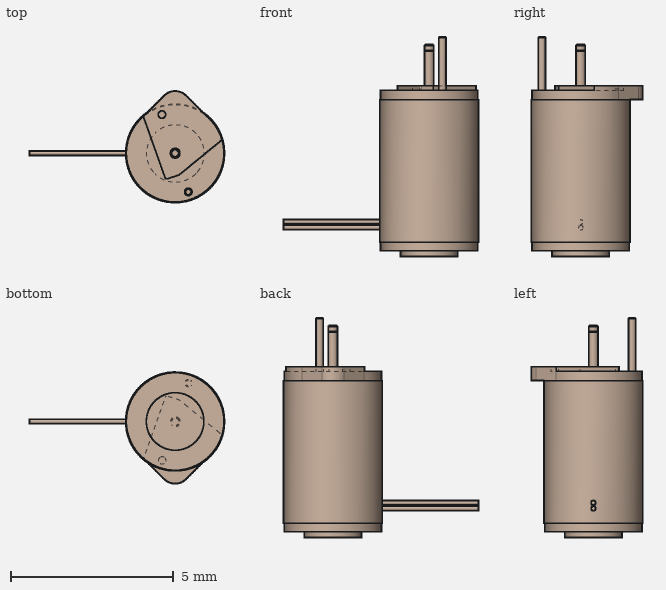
import cadquery as cq
import math


housing_diameter = 3.05
housing_radius = housing_diameter / 2
cap_radius = 1.5
boss_radius = 0.885
boss_height = 0.18
rear_cap_height = 0.265
housing_height = 4.39
flange_height = 0.29
plate_height = 0.14

overall_depth = 3.44

tab_reach = overall_depth - housing_radius
flat_distance = 1.495
tab_half_angle = math.radians(45)

plate_heel = (-0.29, -0.805)
plate_toe = (0.12, -0.67)
plate_left_rim = (-0.98, 1.135)
plate_right_rim = (1.425, 0.4)
heel_fillet = 0.055

pin_diameter = 0.23
pin_x = 0.405
pin_y = -1.19
pin_chamfer = 0.03
overall_height = 6.76

shaft_diameter = 0.3
shaft_top_z = 6.53
shaft_chamfer = 0.04
groove_diameter = 0.26
groove_width = 0.035
groove_from_top = 0.18

wire_diameter = 0.14
overall_length = 6.01
wire_end_x = housing_radius - overall_length
wire_heights = (0.9, 1.075)

rear_cap_top_z = boss_height + rear_cap_height
housing_top_z = rear_cap_top_z + housing_height
flange_top_z = housing_top_z + flange_height
plate_top_z = flange_top_z + plate_height


def cylinder(radius, bottom_z, top_z, x=0.0, y=0.0):
    return cq.Workplane("XY", origin=(x, y, bottom_z)).circle(radius).extrude(top_z - bottom_z)


def make_rear_cap():
    boss = cylinder(boss_radius, 0, boss_height)
    return cylinder(cap_radius, boss_height, rear_cap_top_z).union(boss)


def make_housing():
    return cylinder(housing_radius, rear_cap_top_z, housing_top_z)


def make_flange_blank():
    """Round flange and its tab, as one teardrop reaching up to the plate's top face."""
    cos_a = math.cos(tab_half_angle)
    sin_a = math.sin(tab_half_angle)
    tip_center_y = (tab_reach - flat_distance) / (1 - sin_a)
    tip_radius = tab_reach - tip_center_y
    rim_angle = tab_half_angle + math.acos(flat_distance / cap_radius)
    flat_end_x = cap_radius * math.cos(rim_angle)
    flat_end_y = cap_radius * math.sin(rim_angle)
    tip_x = tip_radius * cos_a
    tip_y = tip_center_y + tip_radius * sin_a
    return (
        cq.Workplane("XY", origin=(0, 0, housing_top_z))
        .moveTo(flat_end_x, flat_end_y)
        .lineTo(tip_x, tip_y)
        .threePointArc((0, tab_reach), (-tip_x, tip_y))
        .lineTo(-flat_end_x, flat_end_y)
        .threePointArc((0, -cap_radius), (flat_end_x, flat_end_y))
        .close()
        .extrude(plate_top_z - housing_top_z)
    )


def extend(start, through):
    """Point on the line from start, twice as far away as through."""
    return (2 * through[0] - start[0], 2 * through[1] - start[1])


def make_plate_region():
    """Prism above the flange face that bounds the raised plate."""
    far_left = extend(plate_heel, plate_left_rim)
    far_right = extend(plate_toe, plate_right_rim)
    region = (
        cq.Workplane("XY", origin=(0, 0, flange_top_z))
        .polyline([plate_heel, plate_toe, far_right, far_left])
        .close()
        .extrude(plate_height)
    )
    heel_edge = cq.selectors.NearestToPointSelector((*plate_heel, flange_top_z + plate_height / 2))
    return region.edges("|Z").edges(heel_edge).fillet(heel_fillet)


def make_flange():
    blank = make_flange_blank()
    lower = blank.intersect(cylinder(2 * cap_radius, housing_top_z, flange_top_z))
    plate = blank.intersect(make_plate_region())
    hole = cylinder(pin_diameter / 2, flange_top_z, plate_top_z, -pin_x, -pin_y)
    return lower.union(plate).cut(hole)


def make_shaft():
    shaft = cylinder(shaft_diameter / 2, plate_top_z, shaft_top_z).faces(">Z").chamfer(shaft_chamfer)
    groove_top_z = shaft_top_z - groove_from_top
    groove_bottom_z = groove_top_z - groove_width
    ring = cylinder(shaft_diameter, groove_bottom_z, groove_top_z).cut(
        cylinder(groove_diameter / 2, groove_bottom_z, groove_top_z)
    )
    return shaft.cut(ring)


def make_pin():
    pin = cylinder(pin_diameter / 2, flange_top_z, overall_height, pin_x, pin_y)
    return pin.faces(">Z").chamfer(pin_chamfer)


def make_wire(height, housing):
    """Straight lead whose inner end is shaped to the housing wall."""
    start = cq.Workplane("YZ", origin=(wire_end_x, 0, height))
    wire = start.circle(wire_diameter / 2).extrude(-cap_radius - wire_end_x)
    return wire.cut(housing)


rear_cap = make_rear_cap()
housing = make_housing()
flange = make_flange()
shaft = make_shaft()
pin = make_pin()
wires = [make_wire(height, housing) for height in wire_heights]

result = cq.Compound.makeCompound(
    [
        rear_cap.val(),
        housing.val(),
        flange.val(),
        shaft.val(),
        pin.val(),
        *[wire.val() for wire in wires],
    ]
)